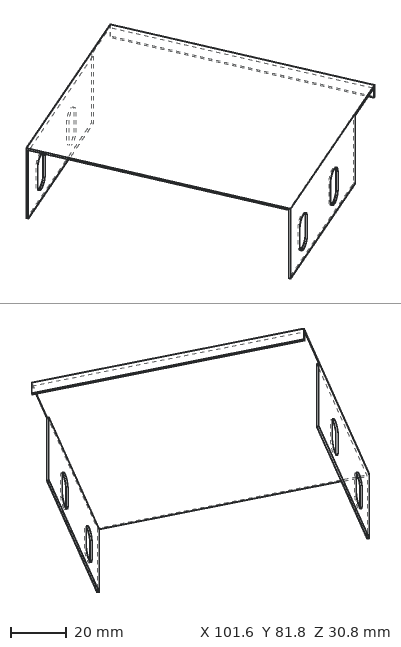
import cadquery as cq

width = 101.6
depth = 81.8
height = 30.8
sheet = 0.8

lip_height = 5.1
flange_length = 63.0

slot_width = 7.1
slot_length = 15.2
first_slot_from_front = 12.6
slot_spacing = 30.0
slot_center_below_top = 18.5

front_y = -depth / 2
rear_y = depth / 2
side_x = width / 2


def make_top_plate():
    return cq.Workplane("XY").box(width, depth, sheet, centered=(True, True, False)).translate(
        (0, 0, height - sheet)
    )


def make_side_flange(outer_x, inward):
    """Side flange hanging from one edge, starting at the front."""
    center_x = outer_x + inward * sheet / 2
    return cq.Workplane("XY").box(sheet, flange_length, height, centered=(True, False, False)).translate(
        (center_x, front_y, 0)
    )


def make_rear_lip():
    """Short lip turned down along the rear edge."""
    return cq.Workplane("XY").box(width, sheet, lip_height, centered=(True, False, False)).translate(
        (0, rear_y - sheet, height - lip_height)
    )


def make_slot_cutters():
    """Vertical slots running through both flanges."""
    first_y = front_y + first_slot_from_front
    centers = [(first_y + i * slot_spacing, height - slot_center_below_top) for i in range(2)]
    return (
        cq.Workplane("YZ")
        .pushPoints(centers)
        .slot2D(slot_length, slot_width, 90)
        .extrude(side_x, both=True)
    )


result = (
    make_top_plate()
    .union(make_side_flange(-side_x, 1))
    .union(make_side_flange(side_x, -1))
    .union(make_rear_lip())
    .cut(make_slot_cutters())
)